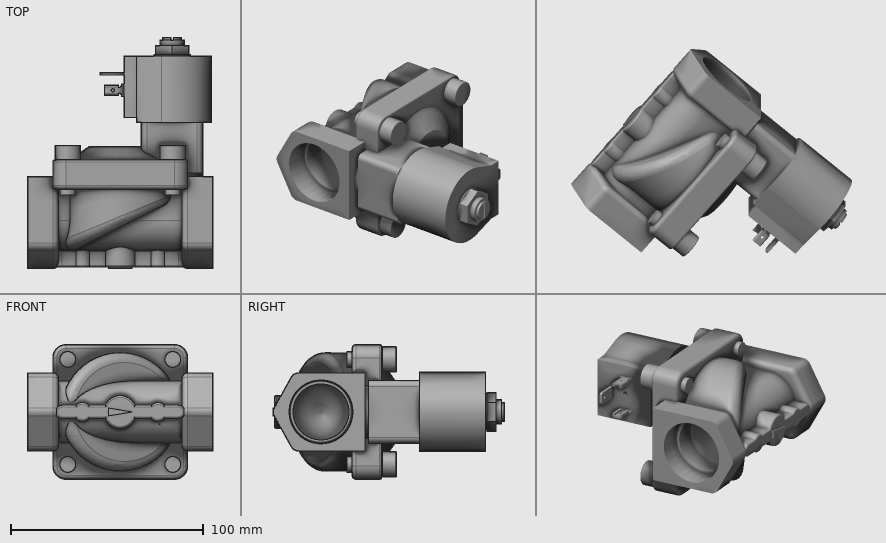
import cadquery as cq
import math


overlap = 1.2

port_end = 48.0
port_length = 16.0
port_half_width = 20.3
port_back = 22.9
port_apex = -25.5
roof_slope = math.tan(math.radians(29))
roof_rounding = 4.3
port_edge_rounding = 2.9

bore_mouth_radius = 16.6
bore_step_radius = 16.2
bore_depth = 12.4
inner_bore_radius = 14.5
inner_bore_depth = 24.0
bore_tip_depth = 32.4

pipe_radius = 16.1
chamber_radius = 30.7
ramp_height = -3.4
ramp_angle = 26.5
ramp_rounding = 5.0

rib_face = -24.1
rib_half_length = 33.6
rib_half_width = 3.5
rib_edge_rounding = 1.0
small_boss_radius = 4.9
small_boss_offset = 19.6
large_boss_radius = 8.5
arrow_half_length = 6.1
arrow_half_width = 2.0
arrow_height = 0.7

flange_bottom = 16.2
flange_top = 31.5
flange_width = 70.0
flange_corner = 7.0
flange_bottom_rounding = 2.0
flange_top_rounding = 1.0
cover_top = 38.4
cover_base_radius = 26.3
cover_top_radius = 16.2
bolt_offset = 27.3
bolt_end = 13.5
bolt_radius = 4.1
bolt_collar_radius = 6.0
bolt_head_bottom = 31.8
bolt_head_top = 39.1
bolt_head_radius = 6.6
bolt_head_rounding = 0.5

stem_x = 26.9
stem_width_x = 32.0
stem_width_z = 32.7
stem_corner = 3.0
stem_bottom = 24.7
coil_bottom = 51.0
coil_top = 85.5
coil_radius = 20.7
coil_x = 26.7
coil_arc_start_x = 21.5
coil_flat_x = 8.5
coil_flat_half_width = 15.7
plate_x = 2.0
plate_bottom = 53.5

washer_top = 86.2
washer_radius = 9.5
nut_top = 90.9
nut_across_corners = 20.0
cap_top = 93.8
cap_radius = 6.4
screw_top = 95.2
screw_radius = 4.9
slot_width = 1.3

earth_tip = -10.5
earth_bottom = 75.5
earth_thickness = 1.3
earth_half_width = 3.2
earth_corner = 1.2
earth_hole_x = -7.6
contact_tip = -8.3
contact_shoulder = -0.8
contact_base_x = 0.6
contact_y = 67.7
contact_base_half_width = 3.4
contact_flare_half_width = 2.4
contact_half_width = 2.6
contact_neck_half_width = 1.6
contact_inner_z = 7.6
contact_web_z = 8.8
contact_outer_z = 9.7
contact_rounding = 0.8
terminal_hole_radius = 0.7
plate_hole_y = 68.7
plate_hole_radius = 1.3
plate_hole_depth = 4.8
plate_hole_tip_depth = 5.6


def at_height(y):
    """Sketch plane facing +Y, with sketch x along X and sketch y along -Z."""
    return cq.Workplane("XZ", origin=(0, y, 0)).transformed(rotate=(180, 0, 0))


def cylinder(x, z, radius, bottom, top):
    return at_height(bottom).center(x, -z).circle(radius).extrude(top - bottom)


def make_port():
    """Left port: flat sides, with a rounded roof on the -Y side."""
    eave = port_apex + port_half_width * roof_slope
    outline = [
        (port_back, -port_half_width),
        (port_back, port_half_width),
        (eave, port_half_width),
        (port_apex, 0),
        (eave, -port_half_width),
    ]
    port = cq.Workplane("YZ", origin=(-port_end, 0, 0)).polyline(outline).close().extrude(port_length)
    port = port.edges("|X").edges("not >Y").fillet(roof_rounding)
    return port.faces(">X").edges("not >Y").fillet(port_edge_rounding)


def make_bore():
    """Left bore: slight taper, one step and a conical tip."""
    profile = [
        (0, 0),
        (0, bore_mouth_radius),
        (bore_depth, bore_step_radius),
        (bore_depth, inner_bore_radius),
        (inner_bore_depth, inner_bore_radius),
        (bore_tip_depth, 0),
    ]
    sketch = cq.Workplane("XY", origin=(-port_end, 0, 0)).polyline(profile).close()
    return sketch.revolve(360, (0, 0, 0), (1, 0, 0))


def make_pipe():
    """Trough between the ports: round below, straight walls up to the flange."""
    length = 2 * (port_end - port_length + overlap)
    start = cq.Workplane("YZ", origin=(-length / 2, 0, 0))
    trough = (
        start.moveTo(flange_bottom + overlap, pipe_radius)
        .lineTo(0, pipe_radius)
        .threePointArc((-pipe_radius, 0), (0, -pipe_radius))
        .lineTo(flange_bottom + overlap, -pipe_radius)
        .close()
    )
    return trough.extrude(length)


def make_chamber():
    """Upright cylinder under the flange, ending in a sloping rounded floor."""
    reach = chamber_radius + overlap
    rise = reach * math.tan(math.radians(ramp_angle))
    top = flange_bottom + overlap
    side = [
        (-reach, top),
        (-reach, ramp_height - rise),
        (reach, ramp_height + rise),
        (reach, top),
    ]
    above_ramp = cq.Workplane("XY").polyline(side).close().extrude(reach, both=True)
    chamber = cylinder(0, 0, chamber_radius, ramp_height - rise, top).intersect(above_ramp)
    return chamber.faces("<Y").edges().fillet(ramp_rounding)


def make_rib():
    sketch = at_height(rib_face)
    depth = -rib_face
    rib = sketch.slot2D(2 * rib_half_length, 2 * rib_half_width).extrude(depth)
    bosses = (
        (-small_boss_offset, small_boss_radius),
        (0, large_boss_radius),
        (small_boss_offset, small_boss_radius),
    )
    for x, radius in bosses:
        rib = rib.union(cylinder(x, 0, radius, rib_face, 0))
    rib = rib.faces("<Y").edges().fillet(rib_edge_rounding)
    arrow = (
        at_height(rib_face - arrow_height)
        .polyline([
            (-arrow_half_length, arrow_half_width),
            (-arrow_half_length, -arrow_half_width),
            (arrow_half_length, 0),
        ])
        .close()
        .extrude(arrow_height + overlap)
    )
    return rib.union(arrow)


def make_flange_and_cover():
    flange = at_height(flange_bottom).rect(flange_width, flange_width).extrude(flange_top - flange_bottom)
    flange = flange.edges("|Y").fillet(flange_corner)
    flange = flange.faces("<Y").edges().fillet(flange_bottom_rounding)
    flange = flange.faces(">Y").edges().fillet(flange_top_rounding)
    cover = (
        at_height(flange_top)
        .circle(cover_base_radius)
        .workplane(offset=cover_top - flange_top)
        .circle(cover_top_radius)
        .loft()
    )
    return flange.union(cover)


def make_bolt(x, z):
    head = cylinder(x, z, bolt_head_radius, bolt_head_bottom, bolt_head_top)
    head = head.faces(">Y").edges().fillet(bolt_head_rounding)
    collar = cylinder(x, z, bolt_collar_radius, flange_top - overlap, bolt_head_bottom)
    shank = cylinder(x, z, bolt_radius, bolt_end, flange_top)
    return head.union(collar).union(shank)


def make_stem():
    stem = at_height(stem_bottom).center(stem_x, 0).rect(stem_width_x, stem_width_z)
    stem = stem.extrude(coil_bottom - stem_bottom).edges("|Y").fillet(stem_corner)
    foot = cylinder(stem_x, 0, stem_width_x / 2, port_back, stem_bottom)
    return stem.union(foot)


def make_coil():
    """Round coil whose sides slope in to a flat connector face."""
    arc_end_z = math.sqrt(coil_radius**2 - (coil_x - coil_arc_start_x) ** 2)
    coil = (
        at_height(coil_bottom)
        .moveTo(coil_flat_x, -coil_flat_half_width)
        .lineTo(coil_arc_start_x, -arc_end_z)
        .threePointArc((coil_x + coil_radius, 0), (coil_arc_start_x, arc_end_z))
        .lineTo(coil_flat_x, coil_flat_half_width)
        .close()
        .extrude(coil_top - coil_bottom)
    )
    plate = cq.Workplane("YZ", origin=(plate_x, 0, 0)).center((plate_bottom + coil_top) / 2, 0)
    plate = plate.rect(coil_top - plate_bottom, 2 * coil_flat_half_width).extrude(coil_flat_x - plate_x)
    hole = (
        cq.Workplane("XY", origin=(plate_x, plate_hole_y, 0))
        .polyline([
            (0, 0),
            (0, plate_hole_radius),
            (plate_hole_depth, plate_hole_radius),
            (plate_hole_tip_depth, 0),
        ])
        .close()
        .revolve(360, (0, 0, 0), (1, 0, 0))
    )
    return coil.union(plate).cut(hole)


def make_nut_and_cap():
    washer = cylinder(stem_x, 0, washer_radius, coil_top, washer_top)
    nut = at_height(washer_top).center(stem_x, 0).polygon(6, nut_across_corners)
    nut = nut.extrude(nut_top - washer_top)
    nut = nut.rotate((stem_x, 0, 0), (stem_x, 1, 0), 30)
    cap = cylinder(stem_x, 0, cap_radius, nut_top, cap_top)
    screw = cylinder(stem_x, 0, screw_radius, cap_top, screw_top)
    slot = at_height(cap_top).center(stem_x, 0).rect(slot_width, 2 * cap_radius)
    screw = screw.cut(slot.extrude(screw_top - cap_top))
    return washer.union(nut).union(cap).union(screw)


def make_earth_blade():
    length = plate_x + overlap - earth_tip
    blade = at_height(earth_bottom).center(earth_tip + length / 2, 0).rect(length, 2 * earth_half_width)
    blade = blade.extrude(earth_thickness).edges("|Y and <X").fillet(earth_corner)
    hole = cylinder(earth_hole_x, 0, terminal_hole_radius, earth_bottom, earth_bottom + earth_thickness)
    return blade.cut(hole)


def make_contact():
    """Channel-shaped contact on the +Z side with a narrow neck and a wide base."""
    half_outline = [
        (contact_shoulder - overlap, contact_neck_half_width),
        (contact_base_x - contact_flare_half_width + contact_neck_half_width, contact_neck_half_width),
        (contact_base_x, contact_flare_half_width),
        (contact_base_x, contact_base_half_width),
        (plate_x + overlap, contact_base_half_width),
    ]
    outline = half_outline + [(x, -y) for x, y in reversed(half_outline)]
    neck = cq.Workplane("XY", origin=(0, contact_y, contact_web_z)).polyline(outline).close()
    neck = neck.extrude(contact_outer_z - contact_web_z)
    blade_length = contact_shoulder - contact_tip
    underside = cq.Workplane("XY", origin=(contact_tip + blade_length / 2, contact_y, contact_inner_z))
    blade = underside.rect(blade_length, 2 * contact_half_width).extrude(contact_outer_z - contact_inner_z)
    blade = blade.edges("|X and >Z").fillet(contact_rounding)
    channel = underside.rect(blade_length, 2 * contact_neck_half_width)
    channel = channel.extrude(contact_web_z - contact_inner_z)
    contact = neck.union(blade).cut(channel)
    hole = (
        cq.Workplane("XY", origin=((contact_tip + contact_base_x) / 2, contact_y, contact_web_z))
        .circle(terminal_hole_radius)
        .extrude(contact_outer_z - contact_web_z)
    )
    return contact.cut(hole)


left_port = make_port()
left_bore = make_bore()
result = make_pipe().union(make_chamber()).union(make_rib())
result = result.union(left_port).union(left_port.mirror("YZ"))
result = result.cut(left_bore).cut(left_bore.mirror("YZ"))

result = result.union(make_flange_and_cover())
for bolt_x in (-bolt_offset, bolt_offset):
    for bolt_z in (-bolt_offset, bolt_offset):
        result = result.union(make_bolt(bolt_x, bolt_z))

result = result.union(make_stem()).union(make_coil()).union(make_nut_and_cap())
contact = make_contact()
result = result.union(make_earth_blade()).union(contact).union(contact.mirror("XY"))